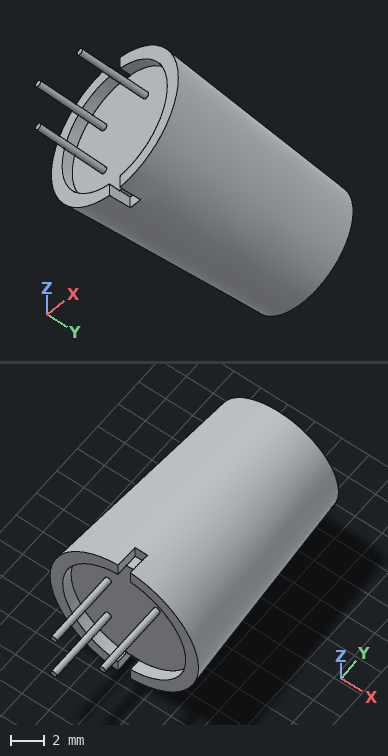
import cadquery as cq

total_length = 19.6
pin_protrusion = 4.5
body_length = total_length - pin_protrusion
front_diameter = 11.0
back_diameter = 8.9

recess_diameter = 9.1
recess_depth = 0.82
slot_width = 0.9
slot_depth = 1.67
slot_floor_diameter = 9.0

pin_diameter = 0.47
pin_pitch = 3.6

front_y = pin_protrusion
recess_floor_y = front_y + recess_depth


def rod(diameter, start_y, length, x=0.0, z=0.0):
    """Cylinder along +Y, starting at start_y."""
    return cq.Workplane(cq.Solid.makeCylinder(
        diameter / 2, length, cq.Vector(x, start_y, z), cq.Vector(0, 1, 0)))


def tapered_body():
    """Round body that narrows toward the back."""
    return cq.Workplane(cq.Solid.makeCone(
        front_diameter / 2, back_diameter / 2, body_length,
        cq.Vector(0, front_y, 0), cq.Vector(0, 1, 0)))


def rim_slots():
    """Slots through the top and bottom of the rim, with round floors about the axis."""
    bar = cq.Workplane("XY").box(
        slot_width, slot_depth, front_diameter, centered=(True, False, True))
    core = rod(slot_floor_diameter, front_y, slot_depth)
    return bar.translate((0, front_y, 0)).cut(core)


def pins():
    """Three round pins rising from the recess floor."""
    half_pitch = pin_pitch / 2
    corners = [(-half_pitch, half_pitch), (half_pitch, half_pitch), (-half_pitch, -half_pitch)]
    group = cq.Workplane("XY")
    for x, z in corners:
        group = group.add(rod(pin_diameter, 0, recess_floor_y, x, z))
    return group.combine()


body = tapered_body()
body = body.cut(rod(recess_diameter, front_y, recess_depth))
body = body.cut(rim_slots())
result = body.union(pins())